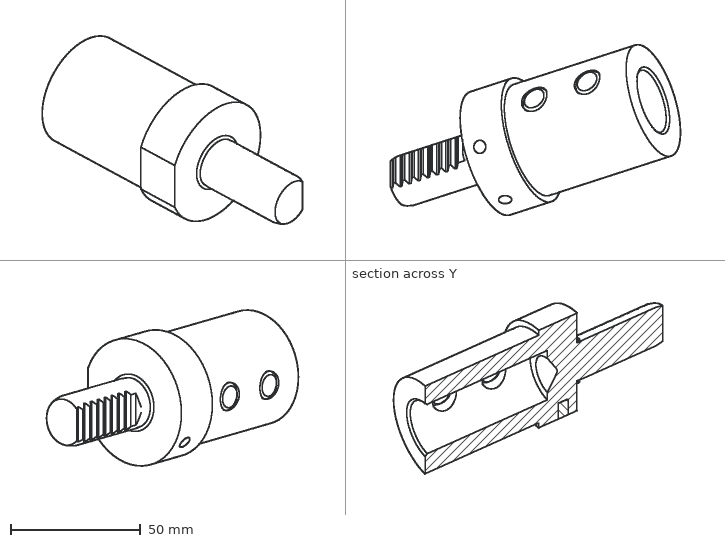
import cadquery as cq
import math


barrel_diameter = 45.0
barrel_length = 53.0
flange_diameter = 50.0
flange_length = 18.0
flange_radius = flange_diameter / 2
flange_flat_distance = 23.0
front_x = -(barrel_length + flange_length)

bore_diameter = 25.0
bore_depth = 57.0
bore_chamfer = 1.0
drill_point_diameter = 17.3
drill_point_angle = 118.0

shank_diameter = 20.0
shank_radius = shank_diameter / 2
shank_length = 40.0
tip_taper_length = 3.3
tip_taper_drop = 0.5
tip_chamfer_length = 1.0
tip_end_radius = 9.05

ring_section_diameter = 1.4
ring_outer_diameter = 22.5
ring_section_radius = ring_section_diameter / 2
ring_centre_radius = ring_outer_diameter / 2 - ring_section_radius
groove_floor_radius = ring_centre_radius - ring_section_radius
groove_end_x = 2.35

tooth_crest_height = 7.75
tooth_root_height = 6.4
tooth_pitch = 4.0
tooth_land = 0.8
tooth_count = 8
first_tooth_root_x = 11.5
teeth_start_x = 7.1
teeth_corner_radius = 1.0
cut_clearance = 1.0

screw_diameter = 11.0
screw_length = 8.0
screw_chamfer = 1.25
screw_distances = (17.0, 40.0)

plug_diameter = 5.0
plug_length = 8.0
plug_x = -6.5
plug_angles = (-33.0, -90.0)


def cylinder_along_x(start_x, length, diameter):
    plane = cq.Workplane("YZ", origin=(start_x, 0, 0))
    return plane.circle(diameter / 2).extrude(length)


def inward_cylinder(x, outer_distance, length, diameter):
    """Cylinder along Y that starts at outer_distance and runs toward the axis."""
    plane = cq.Workplane("XZ", origin=(x, outer_distance, 0))
    return plane.circle(diameter / 2).extrude(length)


def make_head():
    """Round barrel and flange, with a flat on the flange."""
    flange = cylinder_along_x(-flange_length, flange_length, flange_diameter)
    flat_cut_depth = flange_radius - flange_flat_distance
    flat_cut = cq.Workplane("XY").box(flange_length, flat_cut_depth, flange_diameter)
    flat_cut = flat_cut.translate((-flange_length / 2, -flange_radius + flat_cut_depth / 2, 0))
    barrel = cylinder_along_x(front_x, barrel_length, barrel_diameter)
    return flange.cut(flat_cut).union(barrel)


def make_bore():
    """Chamfered bore with a conical drill point in its floor."""
    bore_radius = bore_diameter / 2
    drill_radius = drill_point_diameter / 2
    floor_x = front_x + bore_depth
    apex_x = floor_x + drill_radius / math.tan(math.radians(drill_point_angle / 2))
    profile = (
        cq.Workplane("XY")
        .moveTo(front_x, 0)
        .lineTo(front_x, bore_radius + bore_chamfer)
        .lineTo(front_x + bore_chamfer, bore_radius)
        .lineTo(floor_x, bore_radius)
        .lineTo(floor_x, drill_radius)
        .lineTo(apex_x, 0)
        .close()
    )
    return profile.revolve(360, (0, 0, 0), (1, 0, 0))


def make_shank():
    """Turned shank: ring groove, straight part, slight taper and end chamfer."""
    tip_chamfer_x = shank_length - tip_chamfer_length
    profile = (
        cq.Workplane("XY")
        .lineTo(0, groove_floor_radius)
        .lineTo(ring_section_diameter, groove_floor_radius)
        .lineTo(groove_end_x, shank_radius)
        .lineTo(shank_length - tip_taper_length, shank_radius)
        .lineTo(tip_chamfer_x, shank_radius - tip_taper_drop)
        .lineTo(shank_length, tip_end_radius)
        .lineTo(shank_length, 0)
        .close()
    )
    return profile.revolve(360, (0, 0, 0), (1, 0, 0))


def make_teeth_cut():
    """Flat with a row of trapezoidal notches, running out through the shank end."""
    half_root = tooth_land / 2
    half_gap = (tooth_pitch - tooth_land) / 2
    corner_x = teeth_start_x - teeth_corner_radius
    corner_y = shank_radius - teeth_corner_radius
    above_shank = shank_radius + cut_clearance

    profile = (
        cq.Workplane("XY", origin=(0, 0, -shank_radius))
        .moveTo(corner_x, above_shank)
        .lineTo(corner_x, shank_radius)
        .radiusArc((teeth_start_x, corner_y), teeth_corner_radius)
        .lineTo(teeth_start_x, tooth_crest_height)
    )
    for index in range(tooth_count):
        root_x = first_tooth_root_x + index * tooth_pitch
        profile = (
            profile.lineTo(root_x - half_gap, tooth_crest_height)
            .lineTo(root_x - half_root, tooth_root_height)
            .lineTo(root_x + half_root, tooth_root_height)
            .lineTo(root_x + half_gap, tooth_crest_height)
        )
    end_x = first_tooth_root_x + (tooth_count - 1) * tooth_pitch + half_gap
    return profile.lineTo(end_x, above_shank).close().extrude(shank_diameter)


def make_screw(distance):
    """Clamping screw with chamfered ends, its outer face level with the barrel surface."""
    screw = inward_cylinder(front_x + distance, barrel_diameter / 2, screw_length, screw_diameter)
    return screw.faces("<Y or >Y").chamfer(screw_chamfer)


def make_screw_hole(distance):
    """Through hole from the barrel surface into the bore."""
    outer_distance = barrel_diameter / 2
    return inward_cylinder(front_x + distance, outer_distance, outer_distance, screw_diameter)


def make_plug(angle):
    """Flat-ended plug, level with the flange surface; also the shape of its blind hole."""
    plug = inward_cylinder(plug_x, flange_radius, plug_length, plug_diameter)
    return plug.rotate((0, 0, 0), (1, 0, 0), angle)


def make_ring():
    """Sealing ring resting in the groove, against the flange face."""
    centre = (ring_section_radius, ring_centre_radius)
    section = cq.Workplane("XY").center(*centre).circle(ring_section_radius)
    return section.revolve(360, (0, -ring_centre_radius, 0), (1, -ring_centre_radius, 0))


ring = make_ring()
screws = [make_screw(distance) for distance in screw_distances]
plugs = [make_plug(angle) for angle in plug_angles]

holder = make_head().union(make_shank().cut(make_teeth_cut())).cut(make_bore())
for distance in screw_distances:
    holder = holder.cut(make_screw_hole(distance))
for plug in plugs:
    holder = holder.cut(plug)

result = cq.Compound.makeCompound(
    [
        holder.val(),
        ring.val(),
        *[screw.val() for screw in screws],
        *[plug.val() for plug in plugs],
    ]
)